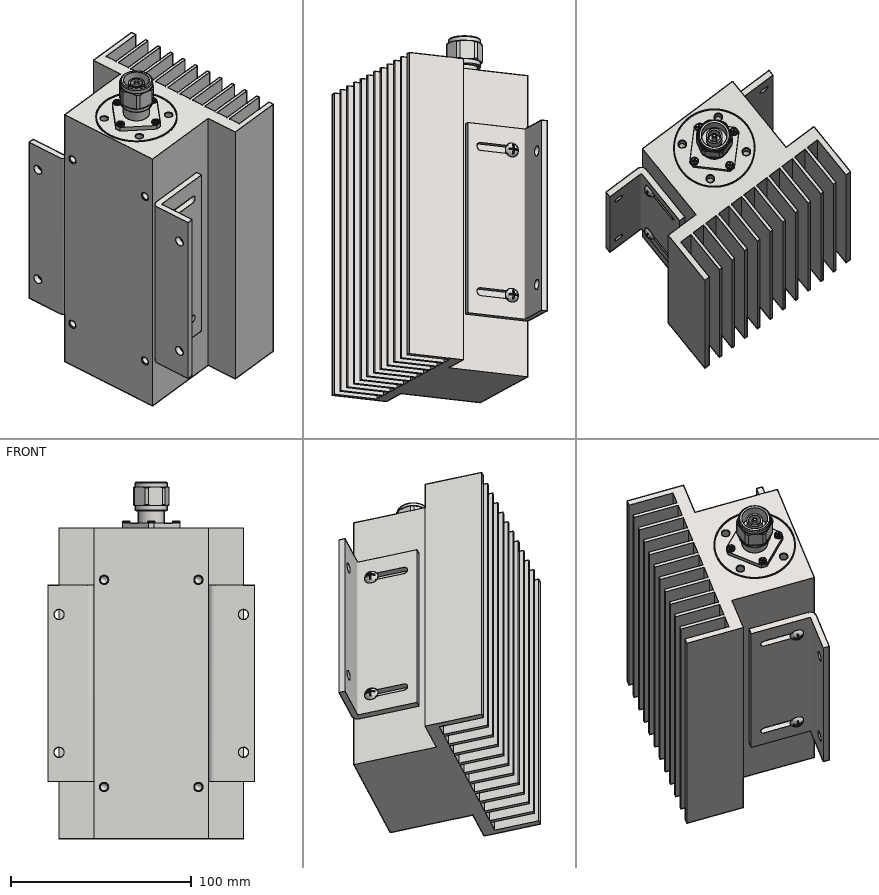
import cadquery as cq
import math


overall_width = 114.3
overall_depth = 81.1
overall_height = 197.4
body_height = 171.9
mid_height = body_height / 2

body_width = 63.2
body_front = -24.0
body_back = body_front + overall_depth

sink_width = 102.0
sink_depth = 33.0
fin_length = 25.7
fin_pitch = 8.9
inner_fin_count = 10
inner_fin_thickness = 1.8
outer_fin_thickness = 3.2
sink_front = body_back - sink_depth
fin_root = body_back - fin_length

bracket_thickness = 3.5
bracket_length = 108.5
bracket_leg_depth = 38.0
bracket_inner_radius = 0.4
bracket_hole_diameter = 5.5
bracket_hole_x = 51.0
bracket_hole_offset = 38.0
leg_outer_x = body_width / 2 + bracket_thickness

slot_width = 4.5
slot_offset = 41.5
slot_back = body_front + 32.5
side_screw_y = body_front + 11.5
side_head_radius = 4.0
side_head_height = 2.8
side_recess_length = 5.1
side_recess_width = 0.8
side_recess_depth = 1.2

screw_hole_diameter = 4.1
front_hole_mouth = 5.1
screw_hole_depth = 6.0
drill_tip_angle = 118.0
front_hole_x = 26.0
front_hole_offset = 57.2
end_hole_mouth = 4.7
end_hole_place = 12.6

plate_diameter = 45.0
plate_groove_width = 0.4
plate_groove_depth = 0.5

flange_size = 24.9
flange_tip_span = 32.0
flange_thickness = 2.5
flange_screw_place = 13.8
flange_head_diameter = 4.3
flange_head_height = 1.2
flange_head_chamfer = 0.4
flange_recess_length = 3.2
flange_recess_width = 0.5
flange_recess_depth = 0.5
flange_top = body_height + flange_thickness

barrel_diameter = 14.6
nut_length = 16.2
nut_collar_diameter = 17.8
nut_collar_chamfer = 0.5
hex_sides = 6
hex_across_flats = 18.2
hex_corner_diameter = 20.0
hex_length = 10.5
hex_end_gap = 2.8
hex_end_chamfer = 0.5
first_hex_corner = 15.0
nut_bore_diameter = 14.2
nut_bore_depth = 9.9
sleeve_outer_diameter = 8.7
sleeve_inner_diameter = 6.7
sleeve_recess = 2.0
pin_diameter = 2.8
pin_recess = 1.2
pin_tip_chamfer = 0.5
nut_bottom = overall_height - nut_length


def box(x_min, x_max, y_min, y_max, z_min, z_max):
    """Block given by its limits along each axis."""
    size = (x_max - x_min, y_max - y_min, z_max - z_min)
    return cq.Workplane("XY").box(*size, centered=False).translate((x_min, y_min, z_min))


def cylinder(diameter, z_min, z_max):
    """Cylinder on the Z axis."""
    return cq.Workplane("XY").workplane(offset=z_min).circle(diameter / 2).extrude(z_max - z_min)


def cross(length, width, depth):
    """Cross-shaped cutter reaching from Z = 0 down to Z = -depth."""
    bar = cq.Workplane("XY").rect(length, width).extrude(-depth)
    return bar.union(bar.rotate((0, 0, 0), (0, 0, 1), 90))


def blind_hole(mouth_diameter):
    """Cutter for a drilled hole from Z = 0 down, with a chamfered mouth and a conical tip."""
    radius = screw_hole_diameter / 2
    mouth_radius = mouth_diameter / 2
    tip_depth = screw_hole_depth + radius / math.tan(math.radians(drill_tip_angle / 2))
    profile = (
        cq.Workplane("XZ")
        .moveTo(0, 0)
        .lineTo(mouth_radius, 0)
        .lineTo(radius, radius - mouth_radius)
        .lineTo(radius, -screw_hole_depth)
        .lineTo(0, -tip_depth)
        .close()
    )
    return profile.revolve(360, (0, 0, 0), (0, 1, 0))


def make_housing():
    """Housing block with a finned heat sink along its back."""
    half_body = body_width / 2
    half_sink = sink_width / 2
    housing = box(-half_body, half_body, body_front, sink_front, 0, body_height)
    housing = housing.union(box(-half_sink, half_sink, sink_front, fin_root, 0, body_height))
    outer_fin_x = (sink_width - outer_fin_thickness) / 2
    fins = [(-outer_fin_x, outer_fin_thickness), (outer_fin_x, outer_fin_thickness)]
    for index in range(inner_fin_count):
        fins.append(((index - (inner_fin_count - 1) / 2) * fin_pitch, inner_fin_thickness))
    for x, thickness in fins:
        fin = box(x - thickness / 2, x + thickness / 2, fin_root, body_back, 0, body_height)
        housing = housing.union(fin)
    return housing


def cut_front_holes(housing):
    """Four blind screw holes in the front face."""
    hole = blind_hole(front_hole_mouth).rotate((0, 0, 0), (1, 0, 0), 90)
    for x in (-front_hole_x, front_hole_x):
        for z in (mid_height - front_hole_offset, mid_height + front_hole_offset):
            housing = housing.cut(hole.translate((x, body_front, z)))
    return housing


def cut_end_plate(housing):
    """Groove around the end plate and the four blind holes inside it."""
    groove = (
        cq.Workplane("XY")
        .workplane(offset=body_height)
        .circle(plate_diameter / 2)
        .circle(plate_diameter / 2 - plate_groove_width)
        .extrude(-plate_groove_depth)
    )
    housing = housing.cut(groove)
    hole = blind_hole(end_hole_mouth)
    for x in (-end_hole_place, end_hole_place):
        for y in (-end_hole_place, end_hole_place):
            housing = housing.cut(hole.translate((x, y, body_height)))
    return housing


def make_side_screw():
    """Domed screw head standing on the XY plane, with a cross recess and a shank below."""
    sphere_radius = (side_head_radius**2 + side_head_height**2) / (2 * side_head_height)
    dome = (
        cq.Workplane("XY")
        .sphere(sphere_radius)
        .translate((0, 0, side_head_height - sphere_radius))
        .intersect(cylinder(2 * side_head_radius, 0, side_head_height))
    )
    recess = cross(side_recess_length, side_recess_width, side_recess_depth)
    dome = dome.cut(recess.translate((0, 0, side_head_height)))
    return dome.union(cylinder(slot_width, -bracket_thickness, 0))


def make_bracket():
    """Angle bracket on the +X side, with slots, mounting holes and clamping screws."""
    z_min = mid_height - bracket_length / 2
    z_max = mid_height + bracket_length / 2
    leg = box(body_width / 2, leg_outer_x, body_front, body_front + bracket_leg_depth, z_min, z_max)
    foot = box(
        body_width / 2, overall_width / 2, body_front, body_front + bracket_thickness, z_min, z_max
    )
    bracket = leg.union(foot)
    outer_bend = cq.selectors.NearestToPointSelector((body_width / 2, body_front, mid_height))
    bracket = bracket.edges(outer_bend).fillet(bracket_thickness)
    inner_corner = (leg_outer_x, body_front + bracket_thickness, mid_height)
    inner_bend = cq.selectors.NearestToPointSelector(inner_corner)
    bracket = bracket.edges(inner_bend).fillet(bracket_inner_radius)

    mounting_hole = (
        cq.Workplane("XZ", origin=(bracket_hole_x, body_front, 0))
        .circle(bracket_hole_diameter / 2)
        .extrude(-bracket_thickness)
    )
    for z in (mid_height - bracket_hole_offset, mid_height + bracket_hole_offset):
        bracket = bracket.cut(mounting_hole.translate((0, 0, z)))

    slot_length = slot_back - (side_screw_y - slot_width / 2)
    slot = (
        cq.Workplane("YZ", origin=(body_width / 2, slot_back - slot_length / 2, 0))
        .slot2D(slot_length, slot_width)
        .extrude(bracket_thickness)
    )
    screw = make_side_screw().rotate((0, 0, 0), (0, 1, 0), 90)
    for z in (mid_height - slot_offset, mid_height + slot_offset):
        bracket = bracket.cut(slot.translate((0, 0, z)))
        bracket = bracket.union(screw.translate((leg_outer_x, side_screw_y, z)))
    return bracket


def make_flange():
    """Square connector flange with its cut-off corners on the X and Y axes, and four screws."""
    square = (
        cq.Workplane("XY")
        .workplane(offset=body_height)
        .rect(flange_size, flange_size)
        .extrude(flange_thickness)
        .rotate((0, 0, 0), (0, 0, 1), 45)
    )
    half_span = flange_tip_span / 2
    flange = square.intersect(
        box(-half_span, half_span, -half_span, half_span, body_height, flange_top)
    )
    head_top = flange_top + flange_head_height
    head = cylinder(flange_head_diameter, flange_top, head_top)
    head = head.faces(">Z").edges().chamfer(flange_head_chamfer)
    recess = cross(flange_recess_length, flange_recess_width, flange_recess_depth)
    recess = recess.rotate((0, 0, 0), (0, 0, 1), 45)
    head = head.cut(recess.translate((0, 0, head_top))).translate((flange_screw_place, 0, 0))
    for turn in range(4):
        flange = flange.union(head.rotate((0, 0, 0), (0, 0, 1), 90 * turn))
    return flange


def make_connector():
    """Barrel, hexagonal coupling nut, and the contact sleeve and pin inside the nut."""
    collar = cylinder(nut_collar_diameter, nut_bottom, overall_height)
    collar = collar.edges().chamfer(nut_collar_chamfer)
    hex_top = overall_height - hex_end_gap
    hex_bottom = hex_top - hex_length
    corner_radius = hex_across_flats / 2 / math.cos(math.pi / hex_sides)
    corners = []
    for index in range(hex_sides):
        angle = math.radians(first_hex_corner + 360 / hex_sides * index)
        corners.append((corner_radius * math.cos(angle), corner_radius * math.sin(angle)))
    hexagon = (
        cq.Workplane("XY")
        .workplane(offset=hex_bottom)
        .polyline(corners)
        .close()
        .extrude(hex_length)
    )
    corner_limit = cylinder(hex_corner_diameter, hex_bottom, hex_top)
    corner_limit = corner_limit.edges().chamfer(hex_end_chamfer)
    nut = collar.union(hexagon.intersect(corner_limit))

    bore_floor = overall_height - nut_bore_depth
    nut = nut.cut(cylinder(nut_bore_diameter, bore_floor, overall_height))
    sleeve = cylinder(sleeve_outer_diameter, bore_floor, overall_height - sleeve_recess)
    sleeve = sleeve.cut(cylinder(sleeve_inner_diameter, bore_floor, overall_height))
    pin = cylinder(pin_diameter, bore_floor, overall_height - pin_recess)
    pin = pin.faces(">Z").edges().chamfer(pin_tip_chamfer)
    barrel = cylinder(barrel_diameter, flange_top, nut_bottom)
    return barrel.union(nut).union(sleeve).union(pin)


housing = cut_end_plate(cut_front_holes(make_housing()))
right_bracket = make_bracket()
left_bracket = right_bracket.mirror("YZ")
result = (
    housing.union(right_bracket)
    .union(left_bracket)
    .union(make_flange())
    .union(make_connector())
)